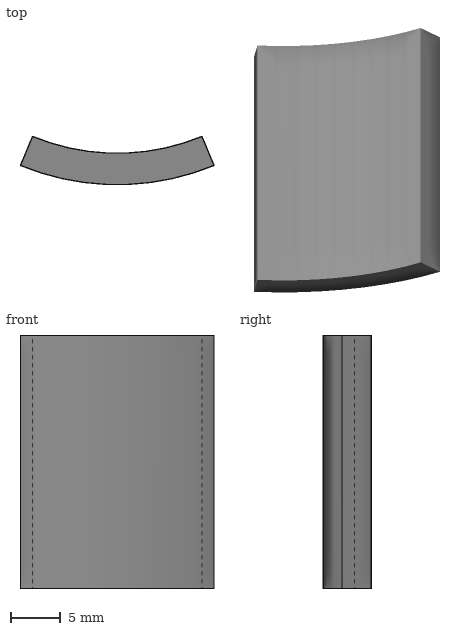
import cadquery as cq
import math

outer_radius = 25.4
wall_thickness = 3.175
height = 25.4
segment_angle = 45.0

inner_radius = outer_radius - wall_thickness
half_angle = math.radians(segment_angle / 2)


def arc_point(radius, angle):
    """Point on a circle about the tube axis, with the angle measured from -Y toward +X."""
    return (radius * math.sin(angle), -radius * math.cos(angle))


def tube_segment():
    """Curved plate between two radial end faces, symmetric about the YZ plane."""
    return (
        cq.Workplane("XY")
        .moveTo(*arc_point(outer_radius, -half_angle))
        .threePointArc(arc_point(outer_radius, 0), arc_point(outer_radius, half_angle))
        .lineTo(*arc_point(inner_radius, half_angle))
        .threePointArc(arc_point(inner_radius, 0), arc_point(inner_radius, -half_angle))
        .close()
        .extrude(height)
    )


result = tube_segment()